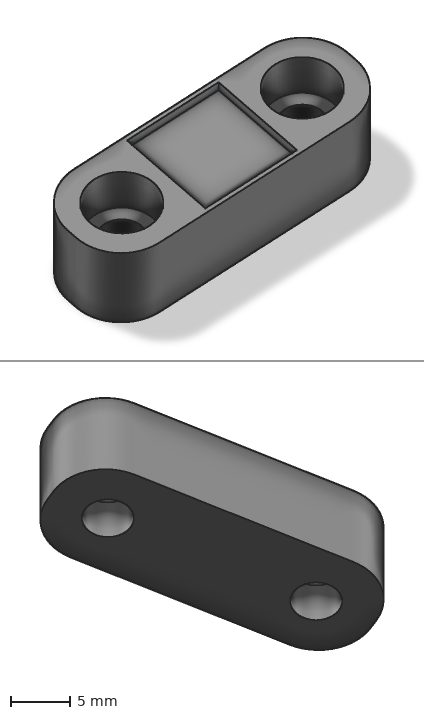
import cadquery as cq

length = 31
width = 11.0
height = 8.7
corner_radius = 5.0

hole_spacing = 20.0
hole_diameter = 4.37
counterbore_diameter = 7.0
counterbore_depth = 4.5

pocket_side = 10.15
pocket_depth = 1.0

block = (
    cq.Workplane("XY")
    .box(width, length, height, centered=(True, True, False))
    .edges("|Z")
    .fillet(corner_radius)
)

drilled = (
    block.faces(">Z")
    .workplane(origin=(0, 0, height))
    .pushPoints([(0, -hole_spacing / 2), (0, hole_spacing / 2)])
    .cboreHole(hole_diameter, counterbore_diameter, counterbore_depth)
)

result = (
    drilled.faces(">Z")
    .workplane(origin=(0, 0, height))
    .rect(pocket_side, pocket_side)
    .cutBlind(-pocket_depth)
)